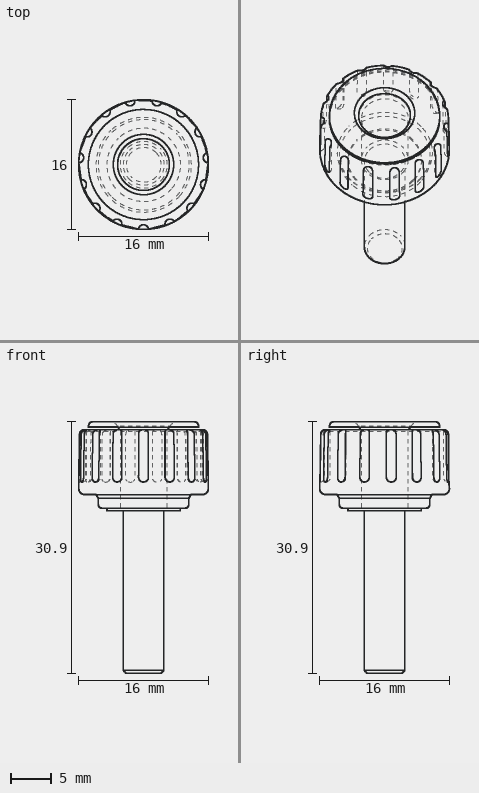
import cadquery as cq

TOTAL_HEIGHT = 30.95
SHAFT_LENGTH = 20.0
WASHER_THICKNESS = 0.3
COLLAR_HEIGHT = 1.67
GRIP_HEIGHT = 8.0
CAP_THICKNESS = 0.68
COLLAR_BOTTOM = SHAFT_LENGTH + WASHER_THICKNESS
GRIP_BOTTOM = COLLAR_BOTTOM + COLLAR_HEIGHT
GRIP_TOP = GRIP_BOTTOM + GRIP_HEIGHT
CAP_BOTTOM = TOTAL_HEIGHT - CAP_THICKNESS

SHAFT_RADIUS = 2.5
SHAFT_CHAMFER = 0.37
WASHER_RADIUS = 4.52
CORE_RADIUS = 2.88
NECK_TOP_RADIUS = 3.15
CAP_RADIUS = 6.78
CAP_FILLET = 0.55
RECESS_TOP_RADIUS = 3.7
RECESS_FLOOR_RADIUS = 3.2
RECESS_DEPTH = 0.53

GRIP_RADIUS = 8.0
GRIP_TOP_RADIUS = 7.85
GRIP_TOP_FILLET = 0.62
GRIP_RECESS_DEPTH = 0.2
GRIP_BOTTOM_FILLET = 0.75
COLLAR_RADIUS = 5.57
COLLAR_FILLET = 0.43
COLLAR_FLARE_RADIUS = 5.85
COLLAR_FLARE_HEIGHT = 0.45

FLUTE_COUNT = 15
FLUTE_RADIUS = 0.62
FLUTE_CENTER_RADIUS = 8.02
FLUTE_END_HEIGHT = 24.15


def make_screw():
    """Revolve the screw, with a conical neck under its dished cap."""
    screw = (
        cq.Workplane("XZ")
        .moveTo(0, 0)
        .lineTo(SHAFT_RADIUS - SHAFT_CHAMFER, 0)
        .lineTo(SHAFT_RADIUS, SHAFT_CHAMFER)
        .lineTo(SHAFT_RADIUS, SHAFT_LENGTH)
        .lineTo(WASHER_RADIUS, SHAFT_LENGTH)
        .lineTo(WASHER_RADIUS, COLLAR_BOTTOM)
        .lineTo(CORE_RADIUS, COLLAR_BOTTOM)
        .lineTo(CORE_RADIUS, GRIP_TOP - GRIP_RECESS_DEPTH)
        .lineTo(NECK_TOP_RADIUS, CAP_BOTTOM)
        .lineTo(CAP_RADIUS, CAP_BOTTOM)
        .lineTo(CAP_RADIUS, TOTAL_HEIGHT)
        .lineTo(RECESS_TOP_RADIUS, TOTAL_HEIGHT)
        .lineTo(RECESS_FLOOR_RADIUS, TOTAL_HEIGHT - RECESS_DEPTH)
        .lineTo(0, TOTAL_HEIGHT - RECESS_DEPTH)
        .close()
        .revolve(360, (0, 0, 0), (0, 1, 0))
    )
    cap_rim = cq.selectors.RadiusNthSelector(-1)
    return screw.faces(">Z").edges(cap_rim).fillet(CAP_FILLET)


def make_grip():
    """Revolve the grip, tapered above its lower rounding and rounded at both ends."""
    grip = (
        cq.Workplane("XZ")
        .moveTo(0, GRIP_BOTTOM)
        .lineTo(GRIP_RADIUS - GRIP_BOTTOM_FILLET, GRIP_BOTTOM)
        .radiusArc((GRIP_RADIUS, GRIP_BOTTOM + GRIP_BOTTOM_FILLET), -GRIP_BOTTOM_FILLET)
        .lineTo(GRIP_TOP_RADIUS, GRIP_TOP)
        .lineTo(0, GRIP_TOP)
        .close()
        .revolve(360, (0, 0, 0), (0, 1, 0))
    )
    return grip.faces(">Z").edges().fillet(GRIP_TOP_FILLET)


def make_collar():
    """Revolve the collar, rounded below and flared where it meets the grip."""
    flare_bottom = GRIP_BOTTOM - COLLAR_FLARE_HEIGHT
    collar = (
        cq.Workplane("XZ")
        .moveTo(0, COLLAR_BOTTOM)
        .lineTo(COLLAR_RADIUS, COLLAR_BOTTOM)
        .lineTo(COLLAR_RADIUS, flare_bottom)
        .lineTo(COLLAR_FLARE_RADIUS, GRIP_BOTTOM)
        .lineTo(0, GRIP_BOTTOM)
        .close()
        .revolve(360, (0, 0, 0), (0, 1, 0))
    )
    return collar.faces("<Z").edges().fillet(COLLAR_FILLET)


def make_flute_cutter(angle):
    """Upright rod with a ball lower end, at the given angle about Z."""
    flute_length = TOTAL_HEIGHT - FLUTE_END_HEIGHT
    rod = cq.Workplane("XY").circle(FLUTE_RADIUS).extrude(flute_length)
    ball = cq.Workplane("XY").sphere(FLUTE_RADIUS)
    cutter = rod.union(ball).translate((0, -FLUTE_CENTER_RADIUS, FLUTE_END_HEIGHT))
    return cutter.rotate((0, 0, 0), (0, 0, 1), angle)


def make_knob():
    """Join grip and collar, cut the flutes, bore the core hole and sink the recess under the cap."""
    knob = make_grip().union(make_collar())
    for index in range(FLUTE_COUNT):
        knob = knob.cut(make_flute_cutter(index * 360 / FLUTE_COUNT))
    bore_length = GRIP_TOP - COLLAR_BOTTOM
    bore = cq.Workplane("XY").workplane(offset=COLLAR_BOTTOM).circle(CORE_RADIUS).extrude(bore_length)
    recess_floor = GRIP_TOP - GRIP_RECESS_DEPTH
    recess = (
        cq.Workplane("XY")
        .workplane(offset=recess_floor)
        .circle(CAP_RADIUS)
        .extrude(GRIP_RECESS_DEPTH)
    )
    return knob.cut(bore).cut(recess)


screw = make_screw()
knob = make_knob()

result = cq.Compound.makeCompound([screw.val(), knob.val()])